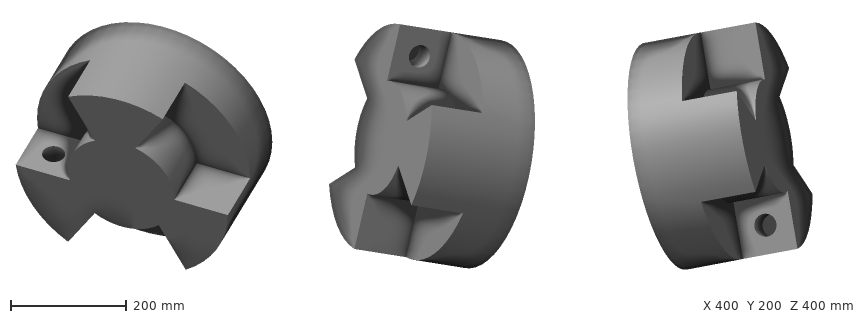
import cadquery as cq
import math

outer_radius = 200.0
hub_radius = outer_radius / 2
plate_thickness = 100.0
jaw_height = 100.0
jaw_count = 3
jaw_inset = outer_radius / 8
hole_diameter = 40.0
hole_depth = 50.0
hole_radial_position = 148.0

jaw_pitch = 360 / jaw_count
overall_length = plate_thickness + jaw_height
back_y = overall_length / 2
floor_y = back_y - plate_thickness
front_y = -back_y
jaw_middle_y = (floor_y + front_y) / 2


def make_pocket():
    """Recess between two jaws: from the radial plane at 120 degrees to the plane z = -jaw_inset."""
    reach = 2 * outer_radius
    start_angle = math.radians(jaw_pitch)
    wedge = (
        cq.Workplane("XZ", origin=(0, floor_y, 0))
        .moveTo(0, 0)
        .lineTo(reach * math.cos(start_angle), reach * math.sin(start_angle))
        .lineTo(-reach, reach)
        .lineTo(-reach, -jaw_inset)
        .lineTo(0, -jaw_inset)
        .close()
        .extrude(jaw_height)
    )
    hub = cq.Workplane("XZ", origin=(0, floor_y, 0)).circle(hub_radius).extrude(jaw_height)
    return wedge.cut(hub)


def make_jaw_hole():
    """Blind hole drilled square into the jaw face at z = -jaw_inset."""
    return (
        cq.Workplane("XY", origin=(-hole_radial_position, jaw_middle_y, -jaw_inset))
        .circle(hole_diameter / 2)
        .extrude(-hole_depth)
    )


result = cq.Workplane("XZ", origin=(0, back_y, 0)).circle(outer_radius).extrude(overall_length)
cutter = make_pocket().union(make_jaw_hole())
for index in range(jaw_count):
    result = result.cut(cutter.rotate((0, 0, 0), (0, 1, 0), index * jaw_pitch))